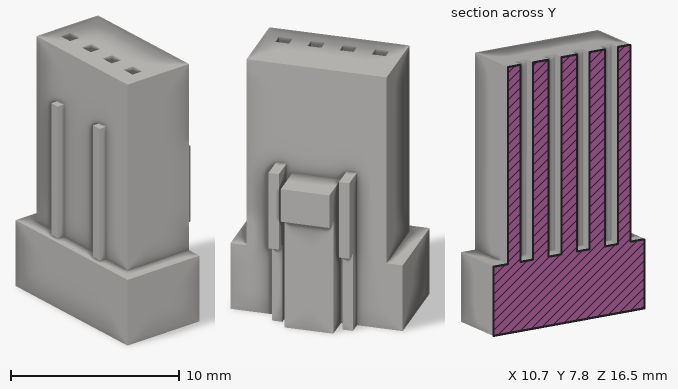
import cadquery as cq

base_width = 10.7
base_depth = 5.46
base_height = 4.3

total_height = 16.5
body_width = 8.7
body_front = 0.8

contact_count = 4
contact_pitch = 2.0
contact_width = 0.85
contact_depth = 0.73
contact_front = 1.91
contact_bottom = base_height

rib_width = 0.61
rib_front = 0.3
rib_top = 13.0

arm_width = 3.02
arm_back = 7.01
arm_top = 9.42
catch_back = 7.8
catch_bottom = 7.3

guard_top = 10.0
guard_width = 0.65
guard_spacing = 4.37
guard_notch_height = 5.05
guard_notch_front = 6.3


def block(x_center, width, y_front, y_back, z_bottom, z_top):
    """Box centred on x_center, bounded by the given y and z faces."""
    return (
        cq.Workplane("XY")
        .box(width, y_back - y_front, z_top - z_bottom, centered=(True, False, False))
        .translate((x_center, y_front, z_bottom))
    )


def guard_wall(x_center):
    """Wall beside the latch arm, stepped inward at its lower back."""
    return (
        cq.Workplane("YZ")
        .moveTo(base_depth, 0)
        .lineTo(guard_notch_front, 0)
        .lineTo(guard_notch_front, guard_notch_height)
        .lineTo(arm_back, guard_notch_height)
        .lineTo(arm_back, guard_top)
        .lineTo(base_depth, guard_top)
        .close()
        .extrude(guard_width / 2, both=True)
        .translate((x_center, 0, 0))
    )


result = block(0, base_width, 0, base_depth, 0, base_height)
result = result.union(block(0, body_width, body_front, base_depth, 0, total_height))

result = result.union(block(0, arm_width, base_depth, arm_back, 0, arm_top))
result = result.union(block(0, arm_width, arm_back, catch_back, catch_bottom, arm_top))

for side in (-1, 1):
    result = result.union(
        block(side * contact_pitch, rib_width, rib_front, body_front, base_height, rib_top)
    )
    result = result.union(guard_wall(side * guard_spacing / 2))

contact_back = contact_front + contact_depth
for index in range(contact_count):
    x_center = (index - (contact_count - 1) / 2) * contact_pitch
    result = result.cut(
        block(x_center, contact_width, contact_front, contact_back, contact_bottom, total_height)
    )